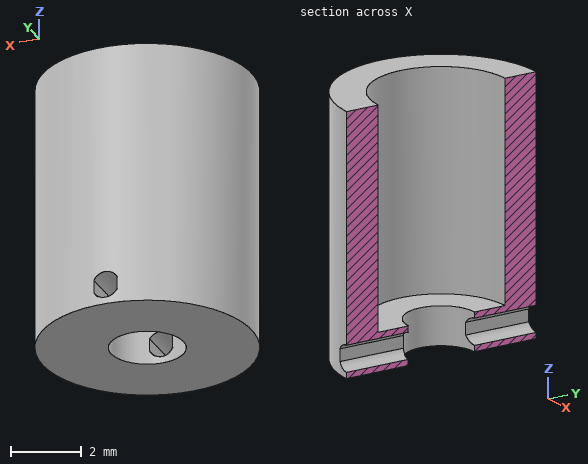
import cadquery as cq

height = 8.0
outer_diameter = 6.35
bore_diameter = 4.23
floor_hole_diameter = 2.2
cross_hole_diameter = 0.8
cross_hole_width = 0.7
cross_hole_height = 0.6

floor_thickness = 2 * cross_hole_height

body = cq.Workplane("XY").circle(outer_diameter / 2).extrude(height)
bore = (
    cq.Workplane("XY")
    .workplane(offset=floor_thickness)
    .circle(bore_diameter / 2)
    .extrude(height - floor_thickness)
)
floor_hole = cq.Workplane("XY").circle(floor_hole_diameter / 2).extrude(floor_thickness)

round_hole = (
    cq.Workplane("XZ")
    .center(0, cross_hole_height)
    .circle(cross_hole_diameter / 2)
    .extrude(outer_diameter / 2, both=True)
)
space_between_flats = cq.Workplane("XY").box(cross_hole_width, outer_diameter, height)
cross_hole = round_hole.intersect(space_between_flats)

result = body.cut(bore).cut(floor_hole).cut(cross_hole)